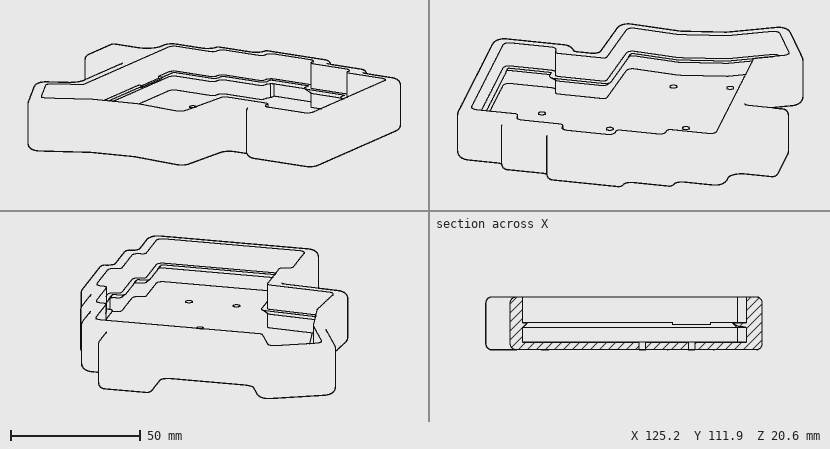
import cadquery as cq
import math


KEY_PITCH = 19.05
KEY_ROWS = 3
STAGGER = KEY_PITCH / 4
COLUMN_TOPS = [-2 * STAGGER, -STAGGER, 0.0, -STAGGER, -2 * STAGGER]

THUMB_CORNER = (-4.6, -99.6)
THUMB_ANGLES = [25, 10, -5]
THUMB_WIDTHS = [19.3, 19.3, 19.6]
THUMB_DEPTH = 19.2

HEIGHT = 20.6
FLOOR_Z = 3.0
LIP_Z = 10.6
LIP_DEPTH = 2.0
EDGE_FILLET = 2.5

PLATE_CLEARANCE = 1.0
LIP_WIDTH = 2.0
WALL = 5.0
OUTER_OFFSET = PLATE_CLEARANCE + WALL
LIP_OFFSET = PLATE_CLEARANCE - LIP_WIDTH

OUTER_RADIUS = 5.0
SMALL_OUTER_RADIUS = 2.5
FRONT_BEND_RADIUS = 2.0
CAVITY_CONVEX_RADIUS = 2.5
CAVITY_CONCAVE_RADIUS = 1.5
LIP_CONVEX_RADIUS = 0.5
LIP_CONCAVE_RADIUS = 2.0

TAB_LENGTH = 18.0
TAB_REAR_Y = -15.6
TAB_FRONT_Y = -37.5
NOTCH_REAR_Y = -18.8
NOTCH_FRONT_Y = -33.6
NOTCH_DEPTH = 0.8

RECESS_LEFT_X = 2 * KEY_PITCH
RECESS_RIGHT_X = 3 * KEY_PITCH
RECESS_REAR_Y = 3.25

HOLE_DIAMETER = 2.7
HOLE_ROW_Y = -KEY_PITCH - 1.5 * STAGGER
HOLES = [
    (KEY_PITCH, HOLE_ROW_Y),
    (KEY_PITCH, HOLE_ROW_Y - KEY_PITCH),
    (4 * KEY_PITCH, HOLE_ROW_Y),
    (4 * KEY_PITCH, HOLE_ROW_Y - KEY_PITCH),
    (2.5 * KEY_PITCH, -2 * KEY_PITCH),
    (31.7, -79.1),
    (10.0, -82.9),
]


def along(point, angle, distance):
    """Point at a distance from another, in a direction given in degrees."""
    radians = math.radians(angle)
    return (point[0] + distance * math.cos(radians), point[1] + distance * math.sin(radians))


def key_field_outline():
    """Sharp corners around all keys, counter-clockwise from the rear left corner."""
    lowest = THUMB_CORNER
    fan = [lowest]
    for angle, width in zip(THUMB_ANGLES, THUMB_WIDTHS):
        fan.append(along(fan[-1], angle, width))
    first_angle = THUMB_ANGLES[0]
    last_angle = THUMB_ANGLES[-1]
    thumb_left = along(lowest, first_angle + 90, THUMB_DEPTH)
    wall_foot = (0.0, thumb_left[1] - thumb_left[0] * math.tan(math.radians(first_angle)))
    inner_front = COLUMN_TOPS[3] - KEY_ROWS * KEY_PITCH
    outer_front = COLUMN_TOPS[4] - KEY_ROWS * KEY_PITCH
    thumb_end = fan[-1]
    thumb_top_x = thumb_end[0] - (inner_front - thumb_end[1]) * math.tan(math.radians(last_angle))
    step_x = 4 * KEY_PITCH
    points = [(0.0, COLUMN_TOPS[0]), wall_foot, thumb_left] + fan
    points += [(thumb_top_x, inner_front), (step_x, inner_front), (step_x, outer_front)]
    points.append((5 * KEY_PITCH, outer_front))
    for column in range(len(COLUMN_TOPS) - 1, -1, -1):
        top = COLUMN_TOPS[column]
        points.append(((column + 1) * KEY_PITCH, top))
        if column > 0:
            points.append((column * KEY_PITCH, top))
    return points


def direction(start, end):
    length = math.dist(start, end)
    return ((end[0] - start[0]) / length, (end[1] - start[1]) / length)


def turn_at(points, i):
    """Signed turn in radians at a corner: positive where a counter-clockwise outline is convex."""
    a = direction(points[i - 1], points[i])
    b = direction(points[i], points[(i + 1) % len(points)])
    return math.atan2(a[0] * b[1] - a[1] * b[0], a[0] * b[0] + a[1] * b[1])


def offset_corners(points, distance):
    """Sharp corners of the outline moved outward by a distance."""
    moved = []
    for i, point in enumerate(points):
        a = direction(points[i - 1], point)
        shift = distance * math.tan(turn_at(points, i) / 2)
        moved.append((point[0] + distance * a[1] + shift * a[0], point[1] - distance * a[0] + shift * a[1]))
    return moved


def lean_short_steps(points, radii):
    """Lean each square step that is lower than its two radii, so that its arcs meet in an S-bend."""
    leaned = list(points)
    for i, start in enumerate(points):
        j = (i + 1) % len(points)
        end = points[j]
        step = math.dist(start, end)
        if step < radii[i] + radii[j]:
            a = direction(points[i - 1], start)
            sweep = math.acos(1 - step / (radii[i] + radii[j]))
            half_span = (radii[i] + radii[j]) * math.sin(sweep) / 2
            start_lean = half_span - radii[i] * math.tan(sweep / 2)
            end_lean = half_span - radii[j] * math.tan(sweep / 2)
            leaned[i] = (start[0] - start_lean * a[0], start[1] - start_lean * a[1])
            leaned[j] = (end[0] + end_lean * a[0], end[1] + end_lean * a[1])
    return leaned


def rounded_outline(points, radii, z):
    """Closed wire at a height, with an arc of the given radius at each corner."""
    points = lean_short_steps(points, radii)
    corners = []
    for i, point in enumerate(points):
        a = direction(points[i - 1], point)
        b = direction(point, points[(i + 1) % len(points)])
        turn = abs(turn_at(points, i))
        trim = radii[i] * math.tan(turn / 2)
        start = (point[0] - trim * a[0], point[1] - trim * a[1])
        end = (point[0] + trim * b[0], point[1] + trim * b[1])
        reach = radii[i] * (1 / math.cos(turn / 2) - 1)
        inward = direction((0, 0), (b[0] - a[0], b[1] - a[1]))
        middle = (point[0] + reach * inward[0], point[1] + reach * inward[1])
        corners.append((start, middle, end))

    tolerance = 1e-6
    sketch = cq.Workplane("XY").workplane(offset=z).moveTo(*corners[0][0])
    previous = corners[0][0]
    for start, middle, end in corners:
        if math.dist(previous, start) > tolerance:
            sketch = sketch.lineTo(*start)
        sketch = sketch.threePointArc(middle, end)
        previous = end
    return sketch.close()


def inner_outline(offset, convex_radius, concave_radius, z):
    """Outline at a height, following the key field at a distance."""
    points = offset_corners(key_field_outline(), offset)
    radii = []
    for i in range(len(points)):
        radii.append(convex_radius if turn_at(points, i) > 0 else concave_radius)
    return rounded_outline(points, radii, z)


def cavity_outline(z):
    return inner_outline(PLATE_CLEARANCE, CAVITY_CONVEX_RADIUS, CAVITY_CONCAVE_RADIUS, z)


def cavity():
    """Straight-walled hollow from the floor to the open top."""
    return cavity_outline(FLOOR_Z).extrude(HEIGHT - FLOOR_Z)


def lip():
    """Ring carrying the plate: flat on top, sloping back to the wall underneath."""
    root_z = LIP_Z - LIP_DEPTH
    wall_wire = cavity_outline(root_z).val()
    edge_wire = inner_outline(LIP_OFFSET, LIP_CONVEX_RADIUS, LIP_CONCAVE_RADIUS, LIP_Z).val()
    opening = cq.Workplane(cq.Solid.makeLoft([wall_wire, edge_wire], True))
    return cavity_outline(root_z).extrude(LIP_DEPTH).cut(opening)


def body():
    """Outer block with its side tab, rounded along the top and bottom edges."""
    points = offset_corners(key_field_outline(), OUTER_OFFSET)
    large = OUTER_RADIUS
    small = SMALL_OUTER_RADIUS
    bend = FRONT_BEND_RADIUS
    wall_corners = [large] * 7
    front_corners = [small, bend, large, large]
    rear_corners = [large] + [small] * 8
    radii = wall_corners + front_corners + rear_corners
    wall_x = -OUTER_OFFSET
    tab_x = wall_x - TAB_LENGTH
    tab = [(wall_x, TAB_REAR_Y), (tab_x, TAB_REAR_Y), (tab_x, TAB_FRONT_Y), (wall_x, TAB_FRONT_Y)]
    points[1:1] = tab
    radii[1:1] = [large, small, small, small]
    block = rounded_outline(points, radii, 0).extrude(HEIGHT)
    return block.faces("<Z or >Z").edges().fillet(EDGE_FILLET)


def lip_notch():
    """Shallow cut in the top of the lip beside the tab."""
    length = NOTCH_REAR_Y - NOTCH_FRONT_Y
    cutter = cq.Workplane("XY").box(LIP_WIDTH, length, NOTCH_DEPTH, centered=False)
    return cutter.translate((-PLATE_CLEARANCE, NOTCH_FRONT_Y, LIP_Z - NOTCH_DEPTH))


def rear_recess():
    """Hollow in the rear wall, one key wide, from the floor to the root of the lip."""
    width = RECESS_RIGHT_X - RECESS_LEFT_X
    height = LIP_Z - LIP_DEPTH - FLOOR_Z
    cutter = cq.Workplane("XY").box(width, RECESS_REAR_Y, height, centered=False)
    return cutter.translate((RECESS_LEFT_X, 0, FLOOR_Z))


def screw_holes():
    return cq.Workplane("XY").pushPoints(HOLES).circle(HOLE_DIAMETER / 2).extrude(FLOOR_Z)


case = body().cut(cavity()).union(lip())
result = case.cut(lip_notch()).cut(rear_recess()).cut(screw_holes())